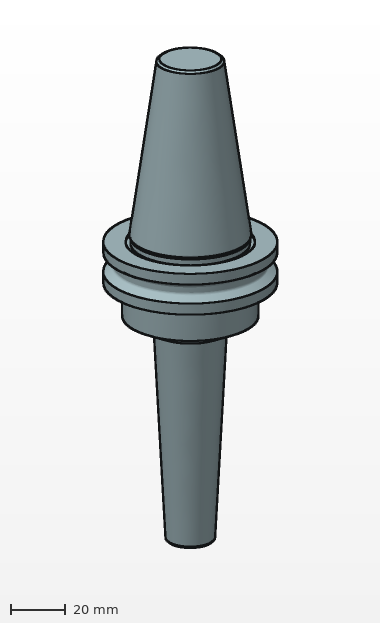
import cadquery as cq
import math

total_height = 188.4
gauge_height = 120.0
flange_top = 116.8
flange_bottom = 100.8
groove_centre = 108.9
hub_bottom = 87.8
nose_top = 82.1

flange_radius = 31.75
gauge_radius = 22.2
taper_slope = 3.5 / 24
neck_radius = 21.9
hub_radius = 24.9
nose_top_radius = 13.4
nose_tip_radius = 9.0

gauge_land = 0.5
neck_chamfer = 1.0
groove_floor_radius = 28.0
groove_floor_width = 3.2
groove_floor_fillet = 1.0
groove_flank_angle = 30
relief_radius = 23.5
relief_depth = 0.5
top_chamfer = 1.0
tip_chamfer = 1.0

taper_top_radius = gauge_radius - taper_slope * (total_height - gauge_height)
groove_floor_top = groove_centre + groove_floor_width / 2
groove_floor_bottom = groove_centre - groove_floor_width / 2
flank_height = (flange_radius - groove_floor_radius) * math.tan(math.radians(groove_flank_angle))

profile = [
    (0, 0),
    (nose_tip_radius, 0),
    (nose_top_radius, nose_top),
    (hub_radius, hub_bottom),
    (hub_radius, flange_bottom),
    (flange_radius, flange_bottom),
    (flange_radius, groove_floor_bottom - flank_height),
    (groove_floor_radius, groove_floor_bottom),
    (groove_floor_radius, groove_floor_top),
    (flange_radius, groove_floor_top + flank_height),
    (flange_radius, flange_top),
    (relief_radius, flange_top),
    (relief_radius, flange_top - relief_depth),
    (neck_radius, flange_top - relief_depth),
    (neck_radius, gauge_height - gauge_land - neck_chamfer),
    (gauge_radius, gauge_height - gauge_land),
    (gauge_radius, gauge_height),
    (taper_top_radius, total_height),
    (0, total_height),
]

body = cq.Workplane("XZ").polyline(profile).close().revolve(360, (0, 0, 0), (0, 1, 0))
body = body.faces(">Z").edges().chamfer(top_chamfer)
body = body.faces("<Z").edges().chamfer(tip_chamfer)

floor_edges = body.edges("%CIRCLE").edges(
    cq.selectors.BoxSelector(
        (-flange_radius, -flange_radius, groove_floor_bottom - groove_floor_fillet),
        (flange_radius, flange_radius, groove_floor_top + groove_floor_fillet),
    )
)
result = floor_edges.fillet(groove_floor_fillet)